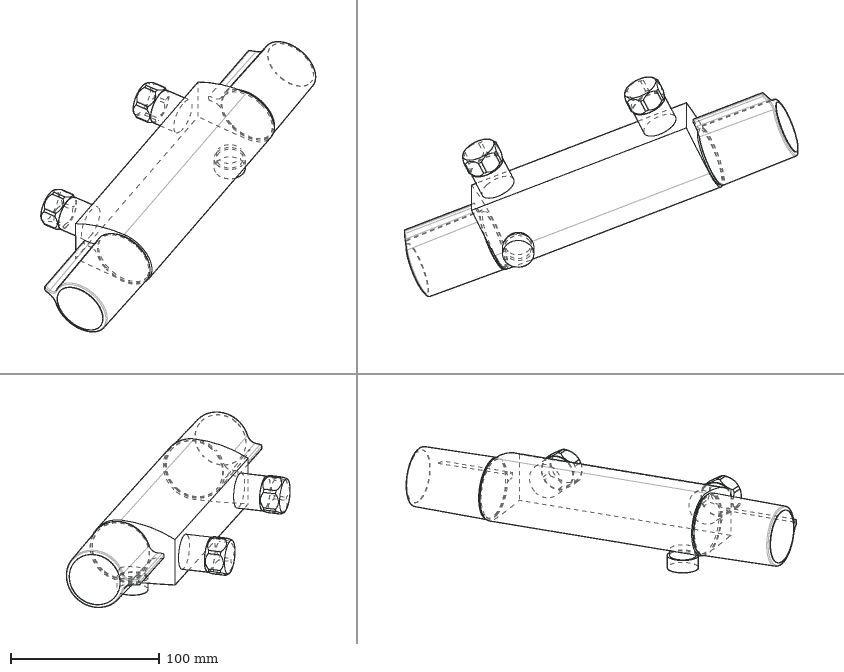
import cadquery as cq
import math


overall_length = 277.3
body_length = 158.5
body_radius = 22.0
half_body = body_length / 2

wall_face_x = -38.3
wall_top_z = 12.5
wall_bottom_z = -20.5

inlet_spacing = 119.5
inlet_z = -3.5
inlet_diameter = 23.8
nut_face_x = -70.7
nut_length = 14.1
nut_across_flats = 23.8
nut_corner_radius = 2.8
nut_end_diameter = 23.0
nut_chamfer_length = 2.8
nut_chamfer_rise = 1.7

outlet_x = -2.08
outlet_y = 61.0
outlet_neck_diameter = 18.0
outlet_thread_diameter = 21.0
outlet_shoulder_z = -26.0
outlet_end_z = -35.0

neck_length = 1.5
neck_radius = 20.2
handle_base_radius = 21.4
handle_end_radius = 20.5
dome_radius = 81.8
dome_rim_fillet = 0.8
cap_radius = 18.0
cap_rise = 0.42
fin_tip_x = -30.8
fin_half_thickness = 2.0
fin_tip_rounding = 1.0
fin_blend_radius = 6.0


def tangent_arc_middle(start, crest_z):
    """Midpoint of the arc from start that is level where it meets (0, crest_z)."""
    run = -start[0]
    drop = crest_z - start[1]
    radius = (run**2 + drop**2) / (2 * drop)
    half_angle = math.asin(run / abs(radius)) / 2
    x = -abs(radius) * math.sin(half_angle)
    z = crest_z - radius * (1 - math.cos(half_angle))
    return x, z


def make_shell():
    """D-shaped bar: flat wall face, two shallow arcs and a round front."""
    top_corner = (wall_face_x, wall_top_z)
    bottom_corner = (wall_face_x, wall_bottom_z)
    return (
        cq.Workplane("XZ", origin=(0, half_body, 0))
        .moveTo(*top_corner)
        .threePointArc(tangent_arc_middle(top_corner, body_radius), (0, body_radius))
        .threePointArc((body_radius, 0), (0, -body_radius))
        .threePointArc(tangent_arc_middle(bottom_corner, -body_radius), bottom_corner)
        .close()
        .extrude(body_length)
    )


def make_inlet(y):
    """Round inlet pipe that ends in a hexagon nut with rounded, chamfered corners."""
    nut_plane = cq.Workplane("YZ", origin=(nut_face_x, y, inlet_z))
    pipe_start_x = nut_face_x + nut_length
    pipe = (
        cq.Workplane("YZ", origin=(pipe_start_x, y, inlet_z))
        .circle(inlet_diameter / 2)
        .extrude(wall_face_x - pipe_start_x)
    )
    across_corners = nut_across_flats / math.cos(math.radians(30))
    nut = (
        nut_plane.transformed(rotate=(0, 0, 90))
        .polygon(6, across_corners)
        .extrude(nut_length)
        .edges("|X")
        .fillet(nut_corner_radius)
    )
    end_radius = nut_end_diameter / 2
    full_radius = end_radius + nut_chamfer_rise
    chamfer_limit = (
        cq.Workplane("XY", origin=(nut_face_x, y, inlet_z))
        .polyline([
            (0, 0),
            (0, end_radius),
            (nut_chamfer_length, full_radius),
            (nut_length - nut_chamfer_length, full_radius),
            (nut_length, end_radius),
            (nut_length, 0),
        ])
        .close()
        .revolve(360, (0, 0, 0), (1, 0, 0))
    )
    return pipe.union(nut.intersect(chamfer_limit))


def make_outlet():
    """Stepped outlet stub that hangs below the housing."""
    neck = (
        cq.Workplane("XY", origin=(outlet_x, outlet_y, outlet_shoulder_z))
        .circle(outlet_neck_diameter / 2)
        .extrude(-outlet_shoulder_z)
    )
    thread = (
        cq.Workplane("XY", origin=(outlet_x, outlet_y, outlet_end_z))
        .circle(outlet_thread_diameter / 2)
        .extrude(outlet_shoulder_z - outlet_end_z)
    )
    return neck.union(thread)


def make_housing():
    housing = make_shell().union(make_outlet())
    for side in (-1, 1):
        housing = housing.union(make_inlet(side * inlet_spacing / 2))
    return housing


def grip_section(y, radius):
    """Wire of a circle with a fin toward -X, joined to it by two concave arcs."""
    blend_z = fin_half_thickness + fin_blend_radius
    blend_distance = radius + fin_blend_radius
    blend_x = -math.sqrt(blend_distance**2 - blend_z**2)
    touch_x = blend_x * radius / blend_distance
    touch_z = blend_z * radius / blend_distance
    middle_angle = (math.atan2(-blend_z, -blend_x) - math.pi / 2) / 2
    middle_x = blend_x + fin_blend_radius * math.cos(middle_angle)
    middle_z = blend_z + fin_blend_radius * math.sin(middle_angle)
    flat_half_width = fin_half_thickness - fin_tip_rounding
    round_start_x = fin_tip_x + fin_tip_rounding
    round_middle_x = round_start_x - fin_tip_rounding * math.cos(math.pi / 4)
    round_middle_z = flat_half_width + fin_tip_rounding * math.sin(math.pi / 4)
    return (
        cq.Workplane(cq.Plane(origin=(0, y, 0), xDir=(1, 0, 0), normal=(0, -1, 0)))
        .moveTo(touch_x, touch_z)
        .threePointArc((radius, 0), (touch_x, -touch_z))
        .threePointArc((middle_x, -middle_z), (blend_x, -fin_half_thickness))
        .lineTo(round_start_x, -fin_half_thickness)
        .threePointArc((round_middle_x, -round_middle_z), (fin_tip_x, -flat_half_width))
        .lineTo(fin_tip_x, flat_half_width)
        .threePointArc((round_middle_x, round_middle_z), (round_start_x, fin_half_thickness))
        .lineTo(blend_x, fin_half_thickness)
        .threePointArc((middle_x, middle_z), (touch_x, touch_z))
        .close()
        .val()
    )


def dome_limit(crest_y):
    """Ball whose outermost point on the handle axis is at crest_y."""
    return cq.Workplane("XY", origin=(0, crest_y - dome_radius, 0)).sphere(dome_radius)


def make_handle():
    """Handle on the +Y end: neck, tapered grip with a fin, and a domed round cap."""
    half_length = overall_length / 2
    grip_start = half_body + neck_length
    sections = [
        grip_section(grip_start, handle_base_radius),
        grip_section(half_length, handle_end_radius),
    ]
    grip = (
        cq.Workplane(cq.Solid.makeLoft(sections, True))
        .intersect(dome_limit(half_length - cap_rise))
        .faces(">Y")
        .edges()
        .fillet(dome_rim_fillet)
    )
    cap = (
        cq.Workplane("XZ", origin=(0, half_length, 0))
        .circle(cap_radius)
        .extrude(half_length - grip_start)
        .intersect(dome_limit(half_length))
    )
    neck = (
        cq.Workplane("XZ", origin=(0, grip_start, 0))
        .circle(neck_radius)
        .extrude(neck_length)
    )
    return grip.union(cap).union(neck)


housing = make_housing()
handle = make_handle()
opposite_handle = handle.mirror("XZ")

result = cq.Compound.makeCompound([housing.val(), handle.val(), opposite_handle.val()])